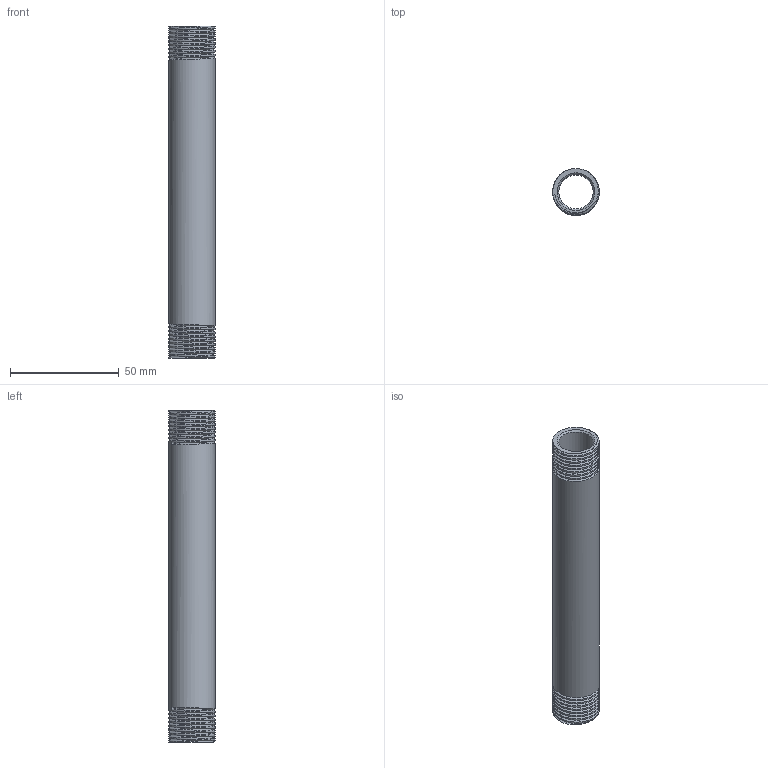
import cadquery as cq
import math

LENGTH = 152.4
OUTER_RADIUS = 21.34 / 2
BORE_RADIUS = 15.8 / 2
BORE_CHAMFER = 0.75
END_Z = LENGTH / 2

MM_PER_INCH = 25.4
THREADS_PER_INCH = 14
PITCH = MM_PER_INCH / THREADS_PER_INCH
FLANK_ANGLE = 60.0
GROOVE_DEPTH = 0.95
THREAD_LENGTH = 15.45
GROOVE_START_ANGLE = 120.0

CUTTER_OVERRUN = PITCH
CUTTER_CLEARANCE = 0.1


def make_tube():
    tube = cq.Workplane("XY").circle(OUTER_RADIUS).circle(BORE_RADIUS).extrude(LENGTH)
    tube = tube.translate((0, 0, -END_Z)).rotate((0, 0, 0), (0, 0, 1), 90)
    bore_rims = tube.edges(cq.selectors.RadiusNthSelector(0))
    return bore_rims.chamfer(BORE_CHAMFER)


def make_groove_cutter():
    """Helical V cutter for the upper end, rising out through the end face."""
    height = THREAD_LENGTH + CUTTER_OVERRUN
    root_radius = OUTER_RADIUS - GROOVE_DEPTH
    cutter_radius = OUTER_RADIUS + CUTTER_CLEARANCE
    half_width = (cutter_radius - root_radius) * math.tan(math.radians(FLANK_ANGLE / 2))

    def helix(radius, z):
        return cq.Wire.makeHelix(PITCH, height, radius, center=cq.Vector(0, 0, z))

    corners = [
        helix(root_radius, 0),
        helix(cutter_radius, half_width),
        helix(cutter_radius, -half_width),
    ]
    faces = []
    for index, corner in enumerate(corners):
        next_corner = corners[(index + 1) % len(corners)]
        faces.extend(cq.Face.makeRuledSurface(corner, next_corner).Faces())

    start_points = [corner.startPoint() for corner in corners]
    end_points = [corner.endPoint() for corner in corners]
    for triangle in (start_points, end_points):
        faces.append(cq.Face.makeFromWires(cq.Wire.makePolygon(triangle, close=True)))

    cutter = cq.Workplane(obj=cq.Solid.makeSolid(cq.Shell.makeShell(faces)))
    cutter = cutter.rotate((0, 0, 0), (0, 0, 1), GROOVE_START_ANGLE)
    return cutter.translate((0, 0, END_Z - THREAD_LENGTH))


upper_cutter = make_groove_cutter()
lower_cutter = upper_cutter.mirror("XY")
result = make_tube().cut(upper_cutter).cut(lower_cutter)